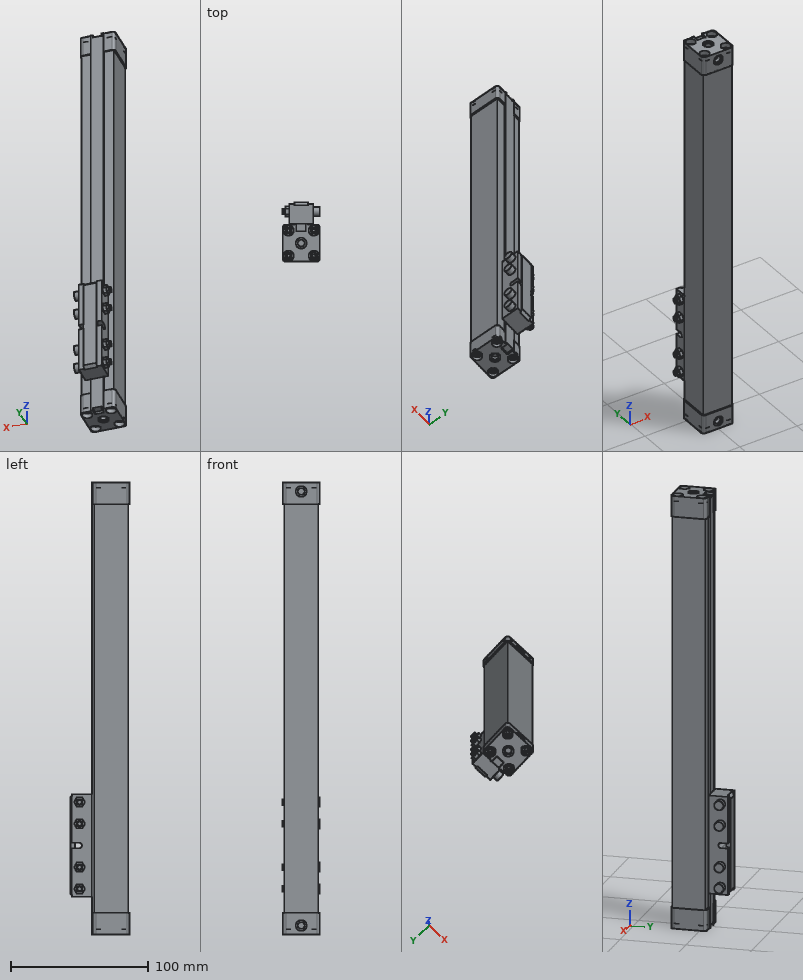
import cadquery as cq

length = 330.0
tube_size = 25.0
cap_size = 27.0
cap_height = 16.0
cap_corner_radius = 2.3

band_width = 10.0
band_rise = 0.5
band_back = cap_size / 2 + band_rise

notch_width = 7.0
notch_floor = 8.5
notch_depth = 2.0

port_diameter = 8.0
port_bore_diameter = 5.0
port_counterbore_depth = 1.3
port_depth = 5.0
front_port_inset = 6.5

recess_offset = 9.2
recess_diameter = 7.5
recess_depth = 4.0
screw_head_diameter = 5.0
screw_head_depth = 1.3
socket_diameter = 2.48
socket_depth = 1.5

block_width = 17.8
block_length = 75.0
block_back = 28.7
carriage_center_z = 65.0

strip_width = 10.0
strip_rise = 1.15
strip_back = block_back + strip_rise
strip_thickness = 3.5
strip_end_chamfer = 2.3

slot_width = 4.0
slot_floor = 21.5

screw_y = 23.0
screw_pitch = 16.0
screw_steps = (-2, -1, 1, 2)
nut_corner_diameter = 8.0
nut_thickness = 2.5
stud_diameter = 4.3
stud_reach = 14.0
stud_socket_diameter = 3.25
stud_socket_depth = 1.0
head_diameter = 7.0
head_reach = 13.5


def box(width, y_front, y_back, z_low, z_high):
    """Block centered on X, between two Y planes and two Z levels."""
    block = cq.Workplane("XY").box(width, y_back - y_front, z_high - z_low, centered=(True, False, False))
    return block.translate((0, y_front, z_low))


def z_cylinder(diameter, height):
    """Cylinder on the Z axis from Z = 0; a negative height goes down."""
    return cq.Workplane("XY").circle(diameter / 2).extrude(height)


def stepped_hole(outer, outer_depth, inner, inner_depth):
    """Hole cutter that opens at Z = 0 and goes down in two steps."""
    return z_cylinder(outer, -outer_depth).union(z_cylinder(inner, -inner_depth))


def make_cap():
    """End cap with its outer end face at Z = 0 and its body below."""
    cap = cq.Workplane("XY").rect(cap_size, cap_size).extrude(-cap_height)
    cap = cap.edges("|Z").fillet(cap_corner_radius)
    cap = cap.union(box(band_width, 0, band_back, -cap_height, 0))
    cap = cap.cut(box(notch_width, notch_floor, band_back, -notch_depth, 0))

    port = stepped_hole(port_diameter, port_counterbore_depth, port_bore_diameter, port_depth)
    cap = cap.cut(port)
    front_port = port.rotate((0, 0, 0), (1, 0, 0), 90)
    cap = cap.cut(front_port.translate((0, -cap_size / 2, -front_port_inset)))

    head_depth = recess_depth + screw_head_depth
    recess = stepped_hole(recess_diameter, recess_depth, screw_head_diameter, head_depth)
    recess = recess.union(z_cylinder(socket_diameter, -head_depth - socket_depth))
    for x in (-recess_offset, recess_offset):
        for y in (-recess_offset, recess_offset):
            cap = cap.cut(recess.translate((x, y, 0)))
    return cap


def make_housing():
    """Tube, sealing band and both end caps as one solid with its lower end at Z = 0."""
    tube = box(tube_size, -tube_size / 2, tube_size / 2, cap_height, length - cap_height)
    band = box(band_width, 0, band_back, cap_height, length - cap_height)
    cap = make_cap()
    top_cap = cap.translate((0, 0, length))
    bottom_cap = cap.mirror("XY")
    return tube.union(band).union(top_cap).union(bottom_cap)


def make_screw():
    """Clamping screw at Z = 0: nut and socketed stud end on -X, round head on +X."""
    side = cq.Workplane("YZ").center(screw_y, 0)
    nut = side.polygon(6, nut_corner_diameter).extrude(-block_width / 2 - nut_thickness)
    stud = side.circle(stud_diameter / 2).extrude(-stud_reach)
    socket = side.workplane(offset=-stud_reach).circle(stud_socket_diameter / 2).extrude(stud_socket_depth)
    head = side.circle(head_diameter / 2).extrude(head_reach)
    return nut.union(stud).cut(socket).union(head)


def make_carriage():
    """Slotted block with its cover strip and clamping screws, shaped around Z = 0 and then raised."""
    half_length = block_length / 2
    block = box(block_width, band_back, block_back, -half_length, half_length)
    slot_end_y = slot_floor + slot_width / 2
    slot = box(block_width, slot_end_y, block_back, -slot_width / 2, slot_width / 2)
    slot_end = cq.Workplane("YZ").center(slot_end_y, 0).circle(slot_width / 2).extrude(block_width / 2, both=True)
    block = block.cut(slot).cut(slot_end)

    strip = box(strip_width, strip_back - strip_thickness, strip_back, -half_length, half_length)
    block = block.cut(strip)
    strip = strip.faces(">Y").edges("|X").chamfer(strip_end_chamfer)
    carriage = block.union(strip)
    screw = make_screw()
    for step in screw_steps:
        carriage = carriage.union(screw.translate((0, 0, step * screw_pitch)))
    return carriage.translate((0, 0, carriage_center_z))


housing = make_housing()
carriage = make_carriage()

result = cq.Compound.makeCompound([housing.val(), carriage.val()])